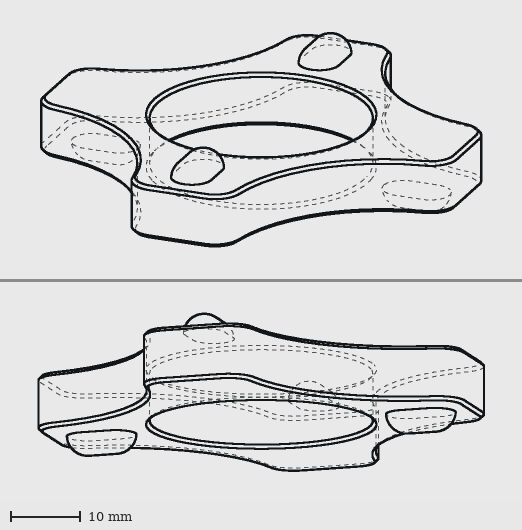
import cadquery as cq

span = 64.0
thickness = 8.0
total_height = 13.6
bore_diameter = 32.0
scallop_radius = 24.0
edge_chamfer = 0.5
pad_radius = 3.0
pad_straight = 4.2
pad_distance = 24.05

half_span = span / 2
half_thickness = thickness / 2
corner_radius = thickness / 2
pad_axis_height = total_height / 2 - pad_radius


def make_body():
    """Four-armed ring: a square with scalloped corners, rounded arm tips and a bore."""
    square = cq.Workplane("XY").box(span, span, thickness)
    corners = [(sx * half_span, sy * half_span) for sx in (-1, 1) for sy in (-1, 1)]
    scallops = (
        cq.Workplane("XY", origin=(0, 0, -half_thickness))
        .pushPoints(corners)
        .circle(scallop_radius)
        .extrude(thickness)
    )
    star = square.cut(scallops).edges("|Z").fillet(corner_radius)
    ring = star.faces(">Z").workplane().hole(bore_diameter)
    return ring.faces("<Z or >Z").edges().chamfer(edge_chamfer)


def make_pad():
    """Round-ended capsule lying along the +X arm, about half sunk into the upper face."""
    inner_end = pad_distance - pad_straight / 2
    outer_end = pad_distance + pad_straight / 2
    capsule = cq.Workplane("YZ", origin=(inner_end, 0, 0)).circle(pad_radius).extrude(pad_straight)
    for end in (inner_end, outer_end):
        capsule = capsule.union(cq.Workplane("XY").sphere(pad_radius).translate((end, 0, 0)))
    return capsule.translate((0, 0, pad_axis_height))


def turn_about_z(shape, angle):
    return shape.rotate((0, 0, 0), (0, 0, 1), angle)


upper_pad = make_pad()
lower_pad = upper_pad.mirror("XY")

result = make_body()
for angle in (0, 180):
    result = result.union(turn_about_z(lower_pad, angle))
    result = result.union(turn_about_z(upper_pad, angle + 90))